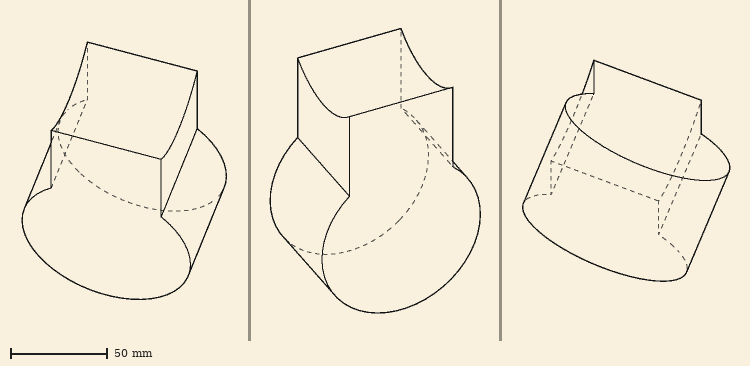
import cadquery as cq

height = 131.1
width = 60.0
disc_radius = 46.0
saddle_radius = disc_radius
saddle_depth = saddle_radius - (saddle_radius**2 - (width / 2)**2)**0.5
saddle_axis_height = height - saddle_depth + saddle_radius

disc = (
    cq.Workplane("XZ", origin=(0, 0, disc_radius))
    .circle(disc_radius)
    .extrude(width / 2, both=True)
)

neck = (
    cq.Workplane("XY", origin=(0, 0, disc_radius))
    .rect(width, width)
    .extrude(height - disc_radius)
)

saddle = (
    cq.Workplane("YZ", origin=(0, 0, saddle_axis_height))
    .circle(saddle_radius)
    .extrude(width, both=True)
)

result = disc.union(neck.cut(saddle))